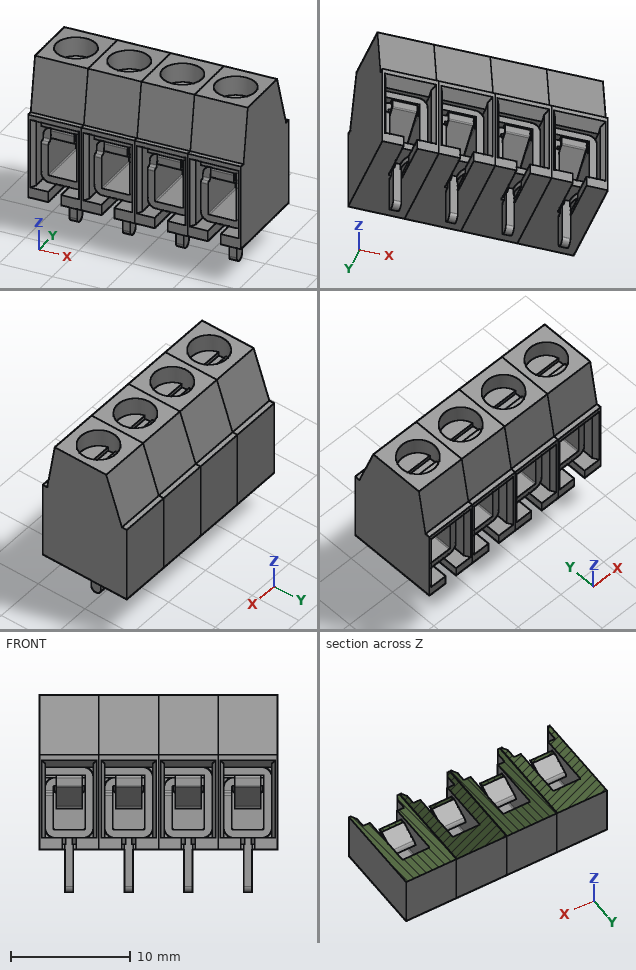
import cadquery as cq
import math

POLE_COUNT = 4
PITCH = 5.0
POLE_CENTRE_X = PITCH / 2

DEPTH = 9.0
HEIGHT = 13.0
SHOULDER_Z = 7.95
FRONT_SHOULDER_Y = 0.48
TOP_FRONT_Y = 1.28
TOP_BACK_Y = 6.8
BACK_SHOULDER_Y = 8.48

FLOOR_Z = 1.0
MOUTH_WIDTH = 4.6
MOUTH_TOP_Z = 7.5
FUNNEL_SIDE_DEPTH = 0.52
FUNNEL_TOP_DEPTH = 1.08
POCKET_WIDTH = 4.02
POCKET_TOP_Z = 6.92

CAGE_WIDTH = POCKET_WIDTH
CAGE_FRONT_Y = 1.48
CAGE_BACK_Y = 6.6
CAGE_WALL = 0.68
CAGE_CORNER_RADIUS = 0.8
CAGE_INNER_RADIUS = 0.1
LEAF_THICKNESS = 0.2
INNER_LAYER_TOP_Z = POCKET_TOP_Z - CAGE_WALL - LEAF_THICKNESS
SETBACK = 0.4
SETBACK_Z = 4.78
SETBACK_RADIUS = SETBACK / 2

LEAF_WIDTH = 2.2
LEAF_ROOT_Y = 2.2
LEAF_BEND_Z = 5.3
LEAF_BEND_RADIUS = 0.15
LEAF_SLOPE = 29.0
LEAF_TIP_SLOPE = 63.0
LEAF_KNEE_Z = 3.68
LEAF_KNEE_RADIUS = 0.55

SCREW_Y = 4.0
SCREW_HOLE_DIAMETER = 3.7
SCREW_HOLE_DEPTH = 1.8
SLOT_WIDTH = 0.8
SLOT_DEPTH = 0.4
SHAFT_DIAMETER = 2.52
SHAFT_TIP_Z = 4.75
SHAFT_CHAMFER = 0.15

PIN_WIDTH = 0.72
PIN_DEPTH = 1.05
PIN_LENGTH = 3.6
FLOOR_SLOT_WIDTH = 1.2
FLOOR_SLOT_END_Y = SCREW_Y
FLANK_BOTTOM_Z = 0.45
FLANK_GAP = 0.55
FLANK_RADIUS = 2.4


def block(width, y_start, y_end, z_start, z_end):
    """Box centred on the pole in X."""
    box = cq.Workplane("XY").box(width, y_end - y_start, z_end - z_start, centered=(True, False, False))
    return box.translate((POLE_CENTRE_X, y_start, z_start))


def housing_block():
    """Full-width block with sloping upper front and back, stepped at the shoulders."""
    outline = [
        (0, 0), (DEPTH, 0), (DEPTH, SHOULDER_Z), (BACK_SHOULDER_Y, SHOULDER_Z), (TOP_BACK_Y, HEIGHT),
        (TOP_FRONT_Y, HEIGHT), (FRONT_SHOULDER_Y, SHOULDER_Z), (0, SHOULDER_Z),
    ]
    return cq.Workplane("YZ").polyline(outline).close().extrude(PITCH)


def wire_entry():
    """Mouth tapering at the sides and top into the straight pocket that holds the cage."""
    half_mouth = MOUTH_WIDTH / 2
    half_pocket = POCKET_WIDTH / 2
    plan = [
        (-half_mouth, 0), (half_mouth, 0), (half_pocket, FUNNEL_SIDE_DEPTH), (half_pocket, CAGE_BACK_Y),
        (-half_pocket, CAGE_BACK_Y), (-half_pocket, FUNNEL_SIDE_DEPTH),
    ]
    profile = [
        (0, FLOOR_Z), (0, MOUTH_TOP_Z), (FUNNEL_TOP_DEPTH, POCKET_TOP_Z), (CAGE_BACK_Y, POCKET_TOP_Z),
        (CAGE_BACK_Y, FLOOR_Z),
    ]
    sides = cq.Workplane("XY", origin=(POLE_CENTRE_X, 0, 0)).polyline(plan).close().extrude(HEIGHT)
    top_and_floor = cq.Workplane("YZ").polyline(profile).close().extrude(PITCH)
    return sides.intersect(top_and_floor)


def clamp_cage():
    """Rolled strip: a rounded loop, with its other end lying above the inner layer."""
    inner_width = CAGE_WIDTH - 2 * CAGE_WALL
    left = POLE_CENTRE_X - CAGE_WIDTH / 2
    right_wall = left + CAGE_WIDTH - CAGE_WALL
    loop = block(CAGE_WIDTH, CAGE_FRONT_Y, CAGE_BACK_Y, FLOOR_Z, INNER_LAYER_TOP_Z)
    loop = loop.edges("|Y").edges("<X or <Z").fillet(CAGE_CORNER_RADIUS)
    middle_z = (FLOOR_Z + POCKET_TOP_Z) / 2
    top_layer = block(CAGE_WIDTH, CAGE_FRONT_Y, CAGE_BACK_Y, middle_z, POCKET_TOP_Z)
    top_layer = top_layer.edges("|Y and >X and >Z").fillet(CAGE_CORNER_RADIUS)
    below_top_layer = cq.Workplane("XY").box(
        right_wall - left, CAGE_BACK_Y, INNER_LAYER_TOP_Z + LEAF_THICKNESS, centered=False,
    ).translate((left, 0, 0))
    loop = loop.union(top_layer.cut(below_top_layer))
    opening = block(
        inner_width, CAGE_FRONT_Y, CAGE_BACK_Y, FLOOR_Z + CAGE_WALL, INNER_LAYER_TOP_Z - CAGE_WALL,
    ).edges("|Y").fillet(CAGE_INNER_RADIUS)
    front = CAGE_FRONT_Y
    r = SETBACK_RADIUS
    bend = r * math.sqrt(0.5)
    setback = (
        cq.Workplane("YZ", origin=(left, 0, 0))
        .moveTo(front, SETBACK_Z - r)
        .threePointArc((front + r - bend, SETBACK_Z - r + bend), (front + r, SETBACK_Z))
        .threePointArc((front + r + bend, SETBACK_Z + r - bend), (front + SETBACK, SETBACK_Z + r))
        .lineTo(front + SETBACK, INNER_LAYER_TOP_Z)
        .lineTo(front, INNER_LAYER_TOP_Z)
        .close()
        .extrude(right_wall - left)
    )
    return loop.cut(opening).cut(setback)


def guard_leaf():
    """Bent leaf hanging in front of the inner layer, with the plate it grows from."""
    top = INNER_LAYER_TOP_Z + LEAF_THICKNESS
    front = CAGE_FRONT_Y
    back = front + LEAF_THICKNESS
    slope = math.radians(LEAF_SLOPE)
    knee_y = front + (LEAF_BEND_Z - LEAF_KNEE_Z) / math.tan(slope)
    knee_centre_y = knee_y - LEAF_KNEE_RADIUS * math.sin(slope)
    knee_centre_z = LEAF_KNEE_Z - LEAF_KNEE_RADIUS * math.cos(slope)
    inner_bend_z = LEAF_BEND_Z + LEAF_THICKNESS / math.cos(slope) - LEAF_THICKNESS * math.tan(slope)

    def knee_point(slope_degrees, radius):
        angle = math.radians(slope_degrees)
        return knee_centre_y + radius * math.sin(angle), knee_centre_z + radius * math.cos(angle)

    lower = LEAF_KNEE_RADIUS
    upper = LEAF_KNEE_RADIUS + LEAF_THICKNESS
    middle_slope = (LEAF_SLOPE + LEAF_TIP_SLOPE) / 2
    leaf = (
        cq.Workplane("YZ")
        .moveTo(LEAF_ROOT_Y, top)
        .lineTo(front, top)
        .lineTo(front, LEAF_BEND_Z)
        .lineTo(*knee_point(LEAF_SLOPE, lower))
        .threePointArc(knee_point(middle_slope, lower), knee_point(LEAF_TIP_SLOPE, lower))
        .lineTo(*knee_point(LEAF_TIP_SLOPE, upper))
        .threePointArc(knee_point(middle_slope, upper), knee_point(LEAF_SLOPE, upper))
        .lineTo(back, inner_bend_z)
        .lineTo(back, INNER_LAYER_TOP_Z)
        .lineTo(LEAF_ROOT_Y, INNER_LAYER_TOP_Z)
        .close()
        .extrude(LEAF_WIDTH)
    )

    def bend_edge(z):
        return cq.selectors.NearestToPointSelector((LEAF_WIDTH / 2, front, z))

    leaf = leaf.edges(bend_edge(top)).fillet(LEAF_THICKNESS)
    leaf = leaf.edges(bend_edge(LEAF_BEND_Z)).fillet(LEAF_BEND_RADIUS)
    leaf = leaf.translate((POLE_CENTRE_X - LEAF_WIDTH / 2, 0, 0))
    return leaf.union(block(CAGE_WIDTH, LEAF_ROOT_Y, CAGE_BACK_Y, INNER_LAYER_TOP_Z, top))


def screw_recess():
    """Round hole down to the screw head, and the slot across the head."""
    head_z = HEIGHT - SCREW_HOLE_DEPTH
    hole = (
        cq.Workplane("XY", origin=(POLE_CENTRE_X, SCREW_Y, head_z))
        .circle(SCREW_HOLE_DIAMETER / 2).extrude(SCREW_HOLE_DEPTH)
    )
    slot = block(PITCH, SCREW_Y - SLOT_WIDTH / 2, SCREW_Y + SLOT_WIDTH / 2, head_z - SLOT_DEPTH, head_z)
    bore = hole.translate((0, 0, -SLOT_DEPTH))
    return hole.union(slot.intersect(bore))


def screw_shaft():
    """Shaft reaching down through both layers into the cage opening."""
    return (
        cq.Workplane("XY", origin=(POLE_CENTRE_X, SCREW_Y, SHAFT_TIP_Z))
        .circle(SHAFT_DIAMETER / 2).extrude(POCKET_TOP_Z - SHAFT_TIP_Z)
        .faces("<Z").chamfer(SHAFT_CHAMFER)
    )


def solder_pin():
    """Flat pin with a full round tip."""
    tip_radius = PIN_DEPTH / 2
    tip_z = tip_radius - PIN_LENGTH
    shank = block(PIN_WIDTH, SCREW_Y - tip_radius, SCREW_Y + tip_radius, tip_z, FLOOR_Z)
    tip = (
        cq.Workplane("YZ", origin=(POLE_CENTRE_X - PIN_WIDTH / 2, SCREW_Y, tip_z))
        .circle(tip_radius).extrude(PIN_WIDTH)
    )
    return shank.union(tip)


def floor_slot():
    """Slot whose upper part narrows towards the pin between two convex flanks."""
    pin_front_y = SCREW_Y - PIN_DEPTH / 2
    half_slot = FLOOR_SLOT_WIDTH / 2
    half_gap = FLANK_GAP / 2
    flank_width = half_slot - half_gap
    flank_angle = math.acos(1 - flank_width / FLANK_RADIUS)

    def flank_point(side, angle):
        x = half_gap + FLANK_RADIUS * (1 - math.cos(angle))
        return side * x, pin_front_y - FLANK_RADIUS * math.sin(angle)

    upper = (
        cq.Workplane("XY", origin=(POLE_CENTRE_X, 0, FLANK_BOTTOM_Z))
        .moveTo(-half_slot, 0)
        .lineTo(half_slot, 0)
        .lineTo(*flank_point(1, flank_angle))
        .threePointArc(flank_point(1, flank_angle / 2), flank_point(1, 0))
        .lineTo(*flank_point(-1, 0))
        .threePointArc(flank_point(-1, flank_angle / 2), flank_point(-1, flank_angle))
        .close()
        .extrude(FLOOR_Z - FLANK_BOTTOM_Z)
    )
    return upper.union(block(FLOOR_SLOT_WIDTH, 0, FLOOR_SLOT_END_Y, 0, FLANK_BOTTOM_Z))


def pole():
    """One complete pole: housing, cage, leaf, screw and pin as a single solid."""
    body = housing_block().cut(wire_entry()).cut(screw_recess()).cut(floor_slot())
    for insert in (clamp_cage(), guard_leaf(), screw_shaft(), solder_pin()):
        body = body.union(insert)
    return body


terminal_pole = pole()
poles = [terminal_pole.val().moved(cq.Location(cq.Vector(i * PITCH, 0, 0))) for i in range(POLE_COUNT)]

result = cq.Compound.makeCompound(poles)